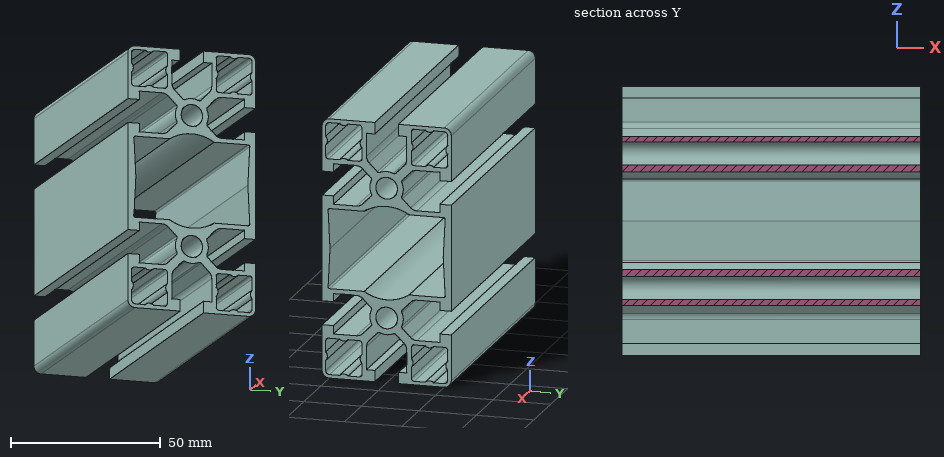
import cadquery as cq
import math

length = 100.0
module = 45.0
width = module
height = 2 * module
outer_radius = 2.5

slot_opening = 8.2
slot_inner_width = 14.0
lip_thickness = 4.0
slot_wall = 1.6

hub_radius = 5.8
core_hole_diameter = 7.5
web_thickness = 3.2
hub_corner_radius = 0.8
flank_corner_radius = 3.0

outer_wall = 1.3
chamber_outer_radius = 1.3
chamber_inner_radius = 1.0
bead_width = 3.0
bead_height = 0.6

side_wall_end = 2.1
side_wall_middle = 2.8
middle_chamber_radius = 0.6
hub_wall_gain = 0.5
bulge_half_width = 7.8

half_module = module / 2
half_inner = slot_inner_width / 2
hub_centres = (-half_module, half_module)


def extrude(sketch):
    return sketch.extrude(length)


def section():
    """Sketch plane whose local axes are the part's Y and Z."""
    return cq.Workplane("YZ", origin=(-length / 2, 0, 0))


def make_blank():
    return extrude(section().rect(width, height)).edges("|X").fillet(outer_radius)


def round_edges_at(body, y, z, radius):
    """Round the two long edges of a body that run along X at (-y, z) and (y, z)."""
    for side in (-1, 1):
        edge = body.edges(cq.selectors.NearestToPointSelector((0, side * y, z)))
        body = edge.fillet(radius)
    return body


def make_slot(hub_z, angle):
    """T-slot pointing away from a hub, opening towards the given angle about X."""
    half_opening = slot_opening / 2
    lip_depth = half_module - lip_thickness
    flank_offset = web_thickness / math.sqrt(2)
    flank_depth = half_inner + flank_offset
    floor_half = (math.sqrt(2 * hub_radius**2 - flank_offset**2) - flank_offset) / 2
    floor_depth = floor_half + flank_offset
    slot = extrude(
        section()
        .moveTo(-half_opening, half_module)
        .lineTo(-half_opening, lip_depth)
        .lineTo(-half_inner, lip_depth)
        .lineTo(-half_inner, flank_depth)
        .lineTo(-floor_half, floor_depth)
        .threePointArc((0, hub_radius), (floor_half, floor_depth))
        .lineTo(half_inner, flank_depth)
        .lineTo(half_inner, lip_depth)
        .lineTo(half_opening, lip_depth)
        .lineTo(half_opening, half_module)
        .close()
    )
    slot = round_edges_at(slot, floor_half, floor_depth, hub_corner_radius)
    slot = round_edges_at(slot, half_inner, flank_depth, flank_corner_radius)
    return slot.rotate((0, 0, 0), (1, 0, 0), angle).translate((0, 0, hub_z))


def make_corner_chamber():
    """Square chamber in the +Y +Z corner, with a rounded bead along each wall."""
    near = half_inner + slot_wall
    far = half_module - outer_wall
    size = far - near
    middle = (near + far) / 2
    chamber = extrude(section().rect(size, size))
    chamber = chamber.edges("|X and >Y and >Z").fillet(chamber_outer_radius)
    chamber = chamber.edges("|X and (<Y or <Z)").fillet(chamber_inner_radius)
    bead = extrude(
        section()
        .moveTo(-bead_width / 2, -size / 2)
        .threePointArc((0, bead_height - size / 2), (bead_width / 2, -size / 2))
        .close()
    )
    for angle in (0, 90, 180, 270):
        chamber = chamber.cut(bead.rotate((0, 0, 0), (1, 0, 0), angle))
    return chamber.translate((0, middle, half_module + middle))


def make_middle_chamber():
    """Large chamber with slightly thicker wall middles and clearance bulges at the hubs."""
    end_y = half_module - side_wall_end
    middle_y = half_module - side_wall_middle
    end_z = half_module - half_inner - slot_wall
    bulge_z = half_module - hub_radius - hub_wall_gain
    chamber = extrude(
        section()
        .moveTo(-end_y, end_z)
        .lineTo(-bulge_half_width, end_z)
        .threePointArc((0, bulge_z), (bulge_half_width, end_z))
        .lineTo(end_y, end_z)
        .lineTo(middle_y, 0)
        .lineTo(end_y, -end_z)
        .lineTo(bulge_half_width, -end_z)
        .threePointArc((0, -bulge_z), (-bulge_half_width, -end_z))
        .lineTo(-end_y, -end_z)
        .lineTo(-middle_y, 0)
        .close()
    )
    return chamber.edges("|X and (<Y or >Y)").fillet(middle_chamber_radius)


result = make_blank()

for hub_z in hub_centres:
    end_angle = 0 if hub_z > 0 else 180
    for angle in (90, -90, end_angle):
        result = result.cut(make_slot(hub_z, angle))
    core_hole = extrude(section().center(0, hub_z).circle(core_hole_diameter / 2))
    result = result.cut(core_hole)

back_chamber = make_corner_chamber()
front_chamber = back_chamber.mirror("XZ")
for chamber in (back_chamber, front_chamber):
    result = result.cut(chamber).cut(chamber.mirror("XY"))

result = result.cut(make_middle_chamber())